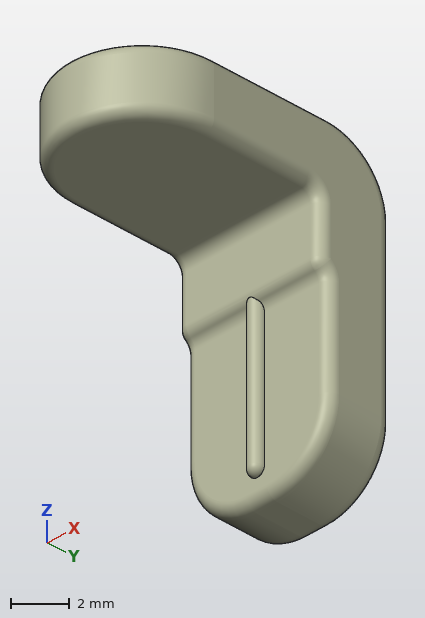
import cadquery as cq
import math

width = 7.0
depth = 12.0
height = 14.0

wall = 3.0
bend_radius = wall
pad_height = 0.4
blend_radius = 0.52
pad_bottom = 8.32
edge_radius = 0.49
leg_corner_radius = 3.0

hole_diameter = 3.4
countersink_diameter = 6.27
countersink_depth = 1.5

rib_radius = 0.36
rib_end_height = 1.37

arm_centre_y = width / 2 - depth


def make_side_profile():
    """Solid L with the bend, inner corner and S-shaped step, in the YZ plane."""
    leg_face = -wall
    pad_face = leg_face - pad_height
    arm_underside = height - wall
    step_length = math.sqrt(pad_height * (4 * blend_radius - pad_height))
    step_middle = ((leg_face + pad_face) / 2, pad_bottom - step_length / 2)
    bend_offset = bend_radius * (1 - math.sqrt(0.5))
    corner_offset = blend_radius * (1 - math.sqrt(0.5))
    return (
        cq.Workplane("YZ", origin=(-width / 2, 0, 0))
        .lineTo(0, height - bend_radius)
        .threePointArc((-bend_offset, height - bend_offset), (-bend_radius, height))
        .lineTo(-depth, height)
        .lineTo(-depth, arm_underside)
        .lineTo(pad_face - blend_radius, arm_underside)
        .threePointArc(
            (pad_face - corner_offset, arm_underside - corner_offset),
            (pad_face, arm_underside - blend_radius),
        )
        .lineTo(pad_face, pad_bottom)
        .tangentArcPoint(step_middle, relative=False)
        .tangentArcPoint((leg_face, pad_bottom - step_length), relative=False)
        .lineTo(leg_face, 0)
        .close()
        .extrude(width)
    )


def make_top_outline():
    """Column that gives the arm its full-round end."""
    straight = (
        cq.Workplane("XY")
        .center(0, arm_centre_y / 2)
        .rect(width, -arm_centre_y)
        .extrude(height)
    )
    round_end = cq.Workplane("XY").center(0, arm_centre_y).circle(width / 2).extrude(height)
    return straight.union(round_end)


def make_front_outline():
    """Bar that gives the leg its two rounded lower corners."""
    return (
        cq.Workplane("XY")
        .box(width, depth, height)
        .translate((0, -depth / 2, height / 2))
        .edges("|Y and <Z")
        .fillet(leg_corner_radius)
    )


def make_rib():
    """Rod along the leg face, running up into the pad."""
    rod = (
        cq.Workplane("XY", origin=(0, -wall, rib_end_height))
        .circle(rib_radius)
        .extrude(pad_bottom - rib_end_height)
    )
    ball = cq.Workplane("XY", origin=(0, -wall, rib_end_height)).sphere(rib_radius)
    return rod.union(ball)


def make_hole():
    """Through hole and its conical countersink from the top."""
    hole_radius = hole_diameter / 2
    cone_slope = (countersink_diameter / 2 - hole_radius) / countersink_depth
    cone_top_radius = countersink_diameter / 2 + cone_slope * edge_radius
    return (
        cq.Workplane("XZ", origin=(0, arm_centre_y, 0))
        .moveTo(0, height / 2)
        .lineTo(hole_radius, height / 2)
        .lineTo(hole_radius, height - countersink_depth)
        .lineTo(cone_top_radius, height + edge_radius)
        .lineTo(0, height + edge_radius)
        .close()
        .revolve(360, (0, 0, 0), (0, 1, 0))
    )


body = make_side_profile().intersect(make_top_outline()).intersect(make_front_outline())
body = body.edges("(|Y and >Z) or (|X and <Z)").fillet(edge_radius)
result = body.cut(make_hole()).union(make_rib())